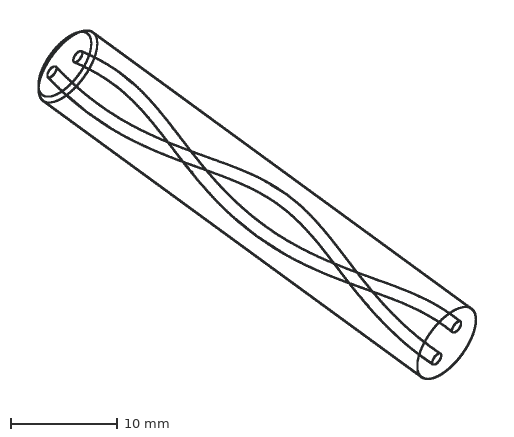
import cadquery as cq
import math

length = 50.0
diameter = 8.0
chamfer = 0.4

channel_count = 2
channel_diameter = 1.25
channel_offset = 1.8
channel_start_angle = -12.0
helix_angle = 30.0
pitch = math.pi * diameter / math.tan(math.radians(helix_angle))


def make_rod():
    """Cylinder with a bevelled -X end and a plain +X end."""
    rod = cq.Workplane("YZ").circle(diameter / 2).extrude(length)
    return rod.faces("<X").chamfer(chamfer)


def make_channels():
    """Evenly spaced round channels twisting right-handed along +X."""
    twist = 360 * length / pitch
    return (
        cq.Workplane("YZ")
        .polarArray(channel_offset, channel_start_angle, 360, channel_count)
        .circle(channel_diameter / 2)
        .twistExtrude(length, twist)
    )


result = make_rod().cut(make_channels())